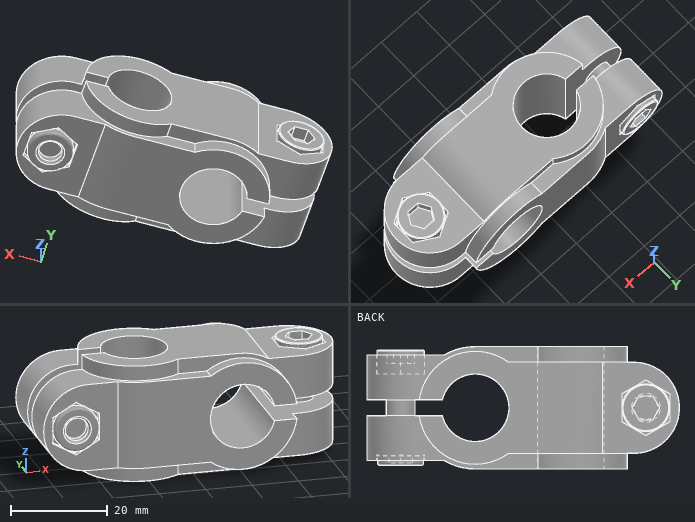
import cadquery as cq
import math


body_width = 25.5
body_depth = 19.0
bore_offset = 10.0
bore_diameter = 14.0
boss_diameter = 23.5
lug_width = 22.0
slot_width = 3.3
total_length = 65.0

half_length = total_length / 2
lug_end_radius = body_depth / 2
lug_end_centre = half_length - lug_end_radius

screw_offset = 25.5
shank_diameter = 6.0
head_diameter = 9.9
head_chamfer = 0.2
socket_across_flats = 5.0
socket_depth = 2.8
collar_diameter = 9.6
collar_fillet = 0.5
shoulder_diameter = 9.9
shoulder_depth = 1.0
thread_diameter = 4.92
thread_chamfer = (shank_diameter - thread_diameter) / 2
thread_depth = 2.0
nut_corner_slope = 15.0
pocket_across_flats = 10.0
pocket_turn = 30.0
socket_turn = 0.0
pocket_depth = 4.0
stand_out = 1.0

lug_face = lug_width / 2
pocket_floor = lug_face - pocket_depth
fastener_end = lug_face + stand_out


def corner_distance(across_flats):
    """Distance between opposite corners of a hexagon."""
    return across_flats / math.cos(math.pi / 6)


def hexagon_prism(across_flats, bottom, height, turn):
    """Hexagonal prism on the screw axis; at turn 0 two corners point along X."""
    across_corners = corner_distance(across_flats)
    hexagon = cq.Workplane("XY", origin=(0, 0, bottom)).polygon(6, across_corners)
    prism = hexagon.extrude(height).rotate((0, 0, 0), (0, 0, 1), turn)
    return prism.translate((screw_offset, 0, 0))


def screw_cylinder(diameter, bottom, height):
    """Cylinder on the screw axis."""
    return cq.Workplane("XY", origin=(screw_offset, 0, bottom)).circle(diameter / 2).extrude(height)


def bore_cylinder(diameter, length):
    """Cylinder along Y on the bore axis, centred on the XZ plane."""
    return cq.Workplane("XZ").center(bore_offset, 0).circle(diameter / 2).extrude(length / 2, both=True)


def clamp_blank():
    """Rounded block, lugs and bore boss, before bore and slot are cut."""
    rounded_block = bore_cylinder(body_width, body_depth)
    web = cq.Workplane("XY").box(2 * bore_offset, body_depth, body_width)
    lug_length = lug_end_centre - bore_offset
    lugs = (
        cq.Workplane("XY")
        .box(lug_length, body_depth, lug_width)
        .translate((bore_offset + lug_length / 2, 0, 0))
    )
    lug_end = (
        cq.Workplane("XY", origin=(lug_end_centre, 0, -lug_face))
        .circle(lug_end_radius)
        .extrude(lug_width)
    )
    boss = bore_cylinder(boss_diameter, body_width)
    return rounded_block.union(web).union(lugs).union(lug_end).union(boss)


def head_pocket():
    """Flat-bottomed hexagonal pocket around the screw head."""
    return hexagon_prism(pocket_across_flats, pocket_floor, pocket_depth, pocket_turn)


def nut_pocket():
    """Shallow hexagonal pocket over the sunken nut, its floor sloping down at the corners."""
    shoulder_radius = shoulder_diameter / 2
    corner_radius = corner_distance(pocket_across_flats) / 2
    corner_drop = (corner_radius - shoulder_radius) * math.tan(math.radians(nut_corner_slope))
    hexagon = hexagon_prism(pocket_across_flats, -lug_face, shoulder_depth + corner_drop, pocket_turn)
    nut_top = cq.Solid.makeCone(
        shoulder_radius,
        corner_radius,
        corner_drop,
        cq.Vector(screw_offset, 0, -lug_face + shoulder_depth),
        cq.Vector(0, 0, 1),
    )
    return hexagon.cut(cq.Workplane(nut_top))


def clamp_cutouts():
    """Bore, slot and the hexagonal recesses at both ends of the screw."""
    bore = bore_cylinder(bore_diameter, body_width)
    slot_length = half_length - bore_offset
    slot = (
        cq.Workplane("XY")
        .box(slot_length, body_width, slot_width)
        .translate((bore_offset + slot_length / 2, 0, 0))
    )
    return bore.union(slot).union(head_pocket()).union(nut_pocket())


def nut_thread():
    """Threaded hole left open in the nut face, countersunk at its mouth."""
    hole = screw_cylinder(thread_diameter, -fastener_end, thread_depth)
    countersink = cq.Solid.makeCone(
        shank_diameter / 2,
        thread_diameter / 2,
        thread_chamfer,
        cq.Vector(screw_offset, 0, -fastener_end),
        cq.Vector(0, 0, 1),
    )
    return hole.union(cq.Workplane(countersink))


def clamp_screw():
    """Socket-head screw with its head at +Z and the round collar of its nut at -Z."""
    shank = screw_cylinder(shank_diameter, -pocket_floor, 2 * pocket_floor)
    head = screw_cylinder(head_diameter, pocket_floor, pocket_depth + stand_out)
    head = head.faces(">Z").chamfer(head_chamfer)
    socket = hexagon_prism(socket_across_flats, fastener_end - socket_depth, socket_depth, socket_turn)
    collar = screw_cylinder(collar_diameter, -fastener_end, stand_out + shoulder_depth)
    collar = collar.faces("<Z").edges().fillet(collar_fillet)
    return shank.union(head.cut(socket)).union(collar)


def opposite(shape):
    """Move a shape from the +X clamp to the -X clamp, turning +Z towards +Y."""
    half_turn = shape.rotate((0, 0, 0), (0, 0, 1), 180)
    return half_turn.rotate((0, 0, 0), (1, 0, 0), -90)


blank = clamp_blank()
cutouts = clamp_cutouts()
screw = clamp_screw()
thread = nut_thread()

body = blank.union(opposite(blank)).cut(cutouts).cut(opposite(cutouts))
clamps_with_screws = body.union(screw).union(opposite(screw))
result = clamps_with_screws.cut(thread).cut(opposite(thread))